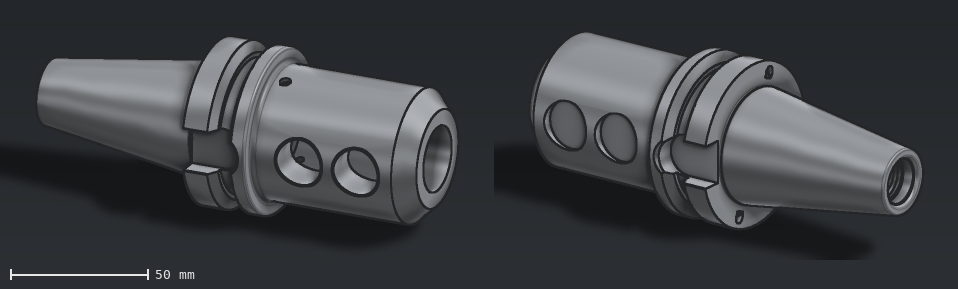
import cadquery as cq
import math

TOTAL_LENGTH = 155.4
TAPER_LENGTH = 65.5
RELIEF_START = 66.0
FLANGE_START = 67.3
FRONT_RIM_END = 77.0
GROOVE_START = 79.4
GROOVE_END = 84.4
REAR_RIM_START = 86.7
FLANGE_END = 92.3

TAPER_SMALL_RADIUS = 12.7
TAPER_LARGE_RADIUS = 22.2
TAPER_EDGE_ROUND = 0.8
RELIEF_RADIUS = 21.9
RELIEF_ROUND = 0.39
FLANGE_RADIUS = 31.47
GROOVE_WALL_RADIUS = 27.4
BODY_RADIUS = 25.5
REAR_RIM_ROUND = 1.0
BODY_ROOT_ROUND = 1.9
NOSE_CHAMFER = 7.0

MOUTH_RADIUS = 10.3
MOUTH_ROUND = 1.5
PILOT_RADIUS = 8.4
PILOT_END = 6.2
STEP_RADIUS = 8.0
STEP_END = 8.4
THROUGH_RADIUS = 6.8
SHANK_BORE_RADIUS = 12.5
SHANK_BORE_DEPTH = 60.6

SLOT_HALF_WIDTH = 8.16
SLOT_FLOOR = 22.5
SLOT_END = 88.6
SLOT_BEVEL_START = 30.0
SLOT_BEVEL_ANGLE = 40.0

SCREW_STATIONS = (111.3, 134.1)
SCREW_RADIUS = 8.9
SCREW_RING_RADIUS = 9.5
SCREW_RING_DEPTH = 0.2
RECESS_RADIUS = 9.5
RECESS_FLOOR = 21.8

COOLANT_ANGLE = 20.0
PLUG_RADIUS = 2.0
SEAT_OVERSHOOT = 3.1
CHANNEL_RADIUS = 1.4
INLET_FACE_RADIUS = 26.7
INLET_TILT = 40.0
INLET_SEAT_DEPTH = 1.2
CROSS_HOLE_STATION = 98.4
CROSS_SEAT_DEPTH = 2.0


def turned_outside():
    """Taper, grooved flange and cylindrical body, revolved about X."""
    relief_depth = TAPER_LARGE_RADIUS - RELIEF_RADIUS
    profile = (
        cq.Workplane("XY")
        .moveTo(0, 0)
        .lineTo(0, TAPER_SMALL_RADIUS - TAPER_EDGE_ROUND)
        .radiusArc((TAPER_EDGE_ROUND, TAPER_SMALL_RADIUS), TAPER_EDGE_ROUND)
        .lineTo(TAPER_LENGTH, TAPER_LARGE_RADIUS)
        .lineTo(RELIEF_START, TAPER_LARGE_RADIUS)
        .lineTo(RELIEF_START + relief_depth, RELIEF_RADIUS)
        .lineTo(FLANGE_START - RELIEF_ROUND, RELIEF_RADIUS)
        .radiusArc((FLANGE_START, RELIEF_RADIUS + RELIEF_ROUND), -RELIEF_ROUND)
        .lineTo(FLANGE_START, FLANGE_RADIUS)
        .lineTo(FRONT_RIM_END, FLANGE_RADIUS)
        .lineTo(GROOVE_START, GROOVE_WALL_RADIUS)
        .lineTo(GROOVE_START, BODY_RADIUS)
        .lineTo(GROOVE_END, BODY_RADIUS)
        .lineTo(GROOVE_END, GROOVE_WALL_RADIUS)
        .lineTo(REAR_RIM_START, FLANGE_RADIUS)
        .lineTo(FLANGE_END - REAR_RIM_ROUND, FLANGE_RADIUS)
        .radiusArc((FLANGE_END, FLANGE_RADIUS - REAR_RIM_ROUND), REAR_RIM_ROUND)
        .lineTo(FLANGE_END, BODY_RADIUS + BODY_ROOT_ROUND)
        .radiusArc((FLANGE_END + BODY_ROOT_ROUND, BODY_RADIUS), -BODY_ROOT_ROUND)
        .lineTo(TOTAL_LENGTH - NOSE_CHAMFER, BODY_RADIUS)
        .lineTo(TOTAL_LENGTH, BODY_RADIUS - NOSE_CHAMFER)
        .lineTo(TOTAL_LENGTH, 0)
        .close()
    )
    return profile.revolve(360, (0, 0, 0), (1, 0, 0))


def axial_bores():
    """Pull-stud pilot with 45-degree shoulders, through hole and shank bore."""
    throat_radius = MOUTH_RADIUS - MOUTH_ROUND
    shank_bore_start = TOTAL_LENGTH - SHANK_BORE_DEPTH
    profile = (
        cq.Workplane("XY")
        .moveTo(0, 0)
        .lineTo(0, MOUTH_RADIUS)
        .radiusArc((MOUTH_ROUND, throat_radius), -MOUTH_ROUND)
        .lineTo(MOUTH_ROUND + throat_radius - PILOT_RADIUS, PILOT_RADIUS)
        .lineTo(PILOT_END, PILOT_RADIUS)
        .lineTo(PILOT_END + PILOT_RADIUS - STEP_RADIUS, STEP_RADIUS)
        .lineTo(STEP_END, STEP_RADIUS)
        .lineTo(STEP_END + STEP_RADIUS - THROUGH_RADIUS, THROUGH_RADIUS)
        .lineTo(shank_bore_start, THROUGH_RADIUS)
        .lineTo(shank_bore_start, SHANK_BORE_RADIUS)
        .lineTo(TOTAL_LENGTH, SHANK_BORE_RADIUS)
        .lineTo(TOTAL_LENGTH, 0)
        .close()
    )
    return profile.revolve(360, (0, 0, 0), (1, 0, 0))


def drive_slot():
    """Round-ended slot cutter on the -Y side, with a beveled outer edge."""
    arc_center = SLOT_END - SLOT_HALF_WIDTH
    slot_start = FLANGE_START - 2 * SLOT_HALF_WIDTH
    length = arc_center - slot_start + 2 * SLOT_HALF_WIDTH
    middle = (slot_start + arc_center) / 2

    def slot_sketch(depth):
        plane = cq.Workplane("XZ", origin=(0, -depth, 0))
        return plane.center(middle, 0).slot2D(length, 2 * SLOT_HALF_WIDTH)

    slot = slot_sketch(SLOT_FLOOR).extrude(FLANGE_RADIUS - SLOT_FLOOR)
    bevel = slot_sketch(SLOT_BEVEL_START).extrude(
        FLANGE_RADIUS - SLOT_BEVEL_START, taper=-SLOT_BEVEL_ANGLE
    )
    return slot.union(bevel)


def screw_hole(station):
    """Radial hole from the -Y side into the shank bore, in a thin ring sunk into the round body."""
    plane = cq.Workplane("XZ", origin=(station, 0, 0))
    hole = plane.circle(SCREW_RADIUS).extrude(BODY_RADIUS)
    ring_floor = cq.Workplane("YZ").circle(BODY_RADIUS - SCREW_RING_DEPTH).extrude(TOTAL_LENGTH)
    ring = plane.circle(SCREW_RING_RADIUS).extrude(BODY_RADIUS).cut(ring_floor)
    return hole.union(ring)


def balance_recess(station):
    """Shallow blind round recess on the +Y side."""
    plane = cq.Workplane("XZ", origin=(station, RECESS_FLOOR, 0))
    return plane.circle(RECESS_RADIUS).extrude(RECESS_FLOOR - BODY_RADIUS)


def stepped_hole(mouth, direction, seat_depth, depth):
    """Wide plug seat, cut from outside the mouth, followed by a narrow channel."""
    seat_start = mouth - direction * SEAT_OVERSHOOT
    seat = cq.Solid.makeCylinder(PLUG_RADIUS, SEAT_OVERSHOOT + seat_depth, seat_start, direction)
    channel = cq.Solid.makeCylinder(CHANNEL_RADIUS, depth, mouth, direction)
    return cq.Workplane(seat).union(cq.Workplane(channel))


def coolant_holes():
    """Tilted inlet in the flange face and radial hole in the body, both reaching the bores."""
    tilt = math.radians(INLET_TILT)
    inlet = stepped_hole(
        cq.Vector(FLANGE_START, 0, INLET_FACE_RADIUS),
        cq.Vector(math.cos(tilt), 0, -math.sin(tilt)),
        INLET_SEAT_DEPTH,
        (INLET_FACE_RADIUS - THROUGH_RADIUS) / math.sin(tilt) + PLUG_RADIUS,
    )
    cross_hole = stepped_hole(
        cq.Vector(CROSS_HOLE_STATION, 0, BODY_RADIUS),
        cq.Vector(0, 0, -1),
        CROSS_SEAT_DEPTH,
        BODY_RADIUS - THROUGH_RADIUS,
    )
    return inlet.union(cross_hole).rotate((0, 0, 0), (1, 0, 0), COOLANT_ANGLE)


result = turned_outside().cut(axial_bores())
for station in SCREW_STATIONS:
    result = result.cut(screw_hole(station)).cut(balance_recess(station))
for half_turn in (0, 180):
    cutters = drive_slot().union(coolant_holes())
    result = result.cut(cutters.rotate((0, 0, 0), (1, 0, 0), half_turn))